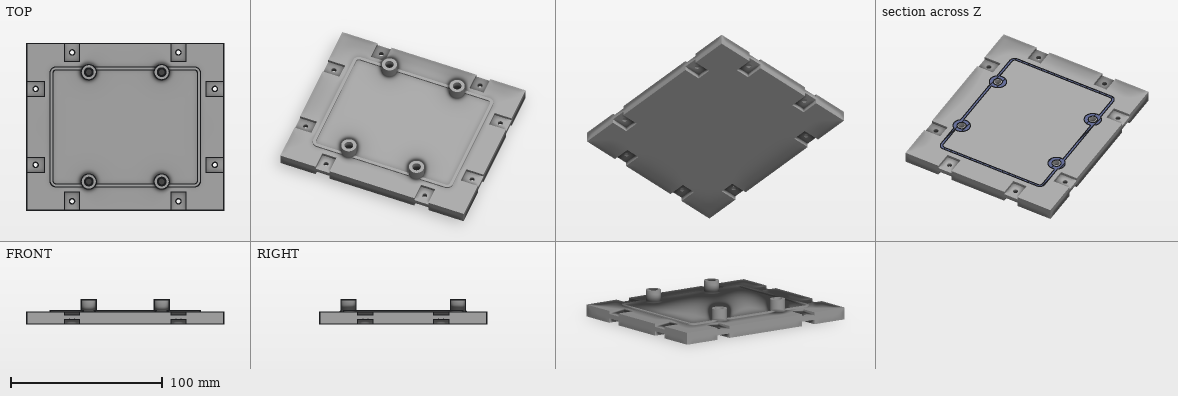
import cadquery as cq

PLATE_LENGTH = 130.0
PLATE_WIDTH = 110.0
PLATE_HEIGHT = 8.0

TAB_WIDTH = 10.0
TAB_REACH = 12.0
TAB_UNDERSIDE = 3.0
TAB_THICKNESS = 3.0
TAB_TOP = TAB_UNDERSIDE + TAB_THICKNESS
TAB_HOLE_DIAMETER = 3.3
TAB_CORNER_DISTANCE = 30.0

RIM_INNER_LENGTH = 95.0
RIM_INNER_WIDTH = 75.0
RIM_WALL = 2.0
RIM_HEIGHT = 1.0
RIM_INNER_RADIUS = 2.0
RIM_OUTER_RADIUS = RIM_INNER_RADIUS + RIM_WALL

STANDOFF_SPACING_X = 48.0
STANDOFF_SPACING_Y = 72.0
STANDOFF_DIAMETER = 10.0
STANDOFF_HEIGHT = 8.0
STANDOFF_TOP = PLATE_HEIGHT + STANDOFF_HEIGHT
FOOT_FILLET = 1.0
SEAT_DIAMETER = 5.7
SEAT_DEPTH = STANDOFF_HEIGHT
CLEARANCE_DIAMETER = 4.4
CLEARANCE_DEPTH = 4.0
BORE_DEPTH = SEAT_DEPTH + CLEARANCE_DEPTH


def box_from_floor(length, width, height, floor):
    """Box centred on the Z axis, standing on the given height."""
    return cq.Workplane("XY").box(length, width, height, centered=(True, True, False)).translate((0, 0, floor))


def make_plate():
    return box_from_floor(PLATE_LENGTH, PLATE_WIDTH, PLATE_HEIGHT, 0)


def make_rim():
    outer_length = RIM_INNER_LENGTH + 2 * RIM_WALL
    outer_width = RIM_INNER_WIDTH + 2 * RIM_WALL
    outer = box_from_floor(outer_length, outer_width, RIM_HEIGHT, PLATE_HEIGHT)
    inner = box_from_floor(RIM_INNER_LENGTH, RIM_INNER_WIDTH, RIM_HEIGHT, PLATE_HEIGHT)
    outer = outer.edges("|Z").fillet(RIM_OUTER_RADIUS)
    inner = inner.edges("|Z").fillet(RIM_INNER_RADIUS)
    return outer.cut(inner)


def make_tab_cutter():
    """Both recesses and the screw hole of one tab, running inward along +Y from the plate edge at Y = 0."""
    below = cq.Workplane("XY").box(TAB_WIDTH, TAB_REACH, TAB_UNDERSIDE, centered=(True, False, False))
    above = (
        cq.Workplane("XY", origin=(0, 0, TAB_TOP))
        .box(TAB_WIDTH, TAB_REACH, PLATE_HEIGHT - TAB_TOP, centered=(True, False, False))
    )
    hole = (
        cq.Workplane("XY", origin=(0, TAB_REACH / 2, 0))
        .circle(TAB_HOLE_DIAMETER / 2)
        .extrude(PLATE_HEIGHT)
    )
    return below.union(above).union(hole)


def cut_tabs(body):
    cutter = make_tab_cutter()
    axis_start, axis_end = (0, 0, 0), (0, 0, 1)
    edges = (
        (0, PLATE_WIDTH / 2, PLATE_LENGTH),
        (90, PLATE_LENGTH / 2, PLATE_WIDTH),
        (180, PLATE_WIDTH / 2, PLATE_LENGTH),
        (270, PLATE_LENGTH / 2, PLATE_WIDTH),
    )
    for angle, edge_distance, edge_length in edges:
        offset = edge_length / 2 - TAB_CORNER_DISTANCE
        for along in (-offset, offset):
            placed = cutter.translate((along, -edge_distance, 0)).rotate(axis_start, axis_end, angle)
            body = body.cut(placed)
    return body


def make_standoff():
    """Solid round post whose foot flares into the plate with a concave fillet."""
    radius = STANDOFF_DIAMETER / 2
    profile = (
        cq.Workplane("XZ")
        .moveTo(0, PLATE_HEIGHT)
        .lineTo(radius + FOOT_FILLET, PLATE_HEIGHT)
        .radiusArc((radius, PLATE_HEIGHT + FOOT_FILLET), FOOT_FILLET)
        .lineTo(radius, STANDOFF_TOP)
        .lineTo(0, STANDOFF_TOP)
        .close()
    )
    return profile.revolve(360, (0, 0, 0), (0, 1, 0))


def make_bore():
    """Stepped blind bore: a wide insert seat with a narrower screw clearance hole below it."""
    top_plane = cq.Workplane("XY", origin=(0, 0, STANDOFF_TOP))
    seat = top_plane.circle(SEAT_DIAMETER / 2).extrude(-SEAT_DEPTH)
    clearance = top_plane.circle(CLEARANCE_DIAMETER / 2).extrude(-BORE_DEPTH)
    return seat.union(clearance)


def add_standoffs(body):
    standoff = make_standoff()
    bore = make_bore()
    for x in (-STANDOFF_SPACING_X / 2, STANDOFF_SPACING_X / 2):
        for y in (-STANDOFF_SPACING_Y / 2, STANDOFF_SPACING_Y / 2):
            body = body.union(standoff.translate((x, y, 0)))
            body = body.cut(bore.translate((x, y, 0)))
    return body


result = add_standoffs(cut_tabs(make_plate()).union(make_rim()))